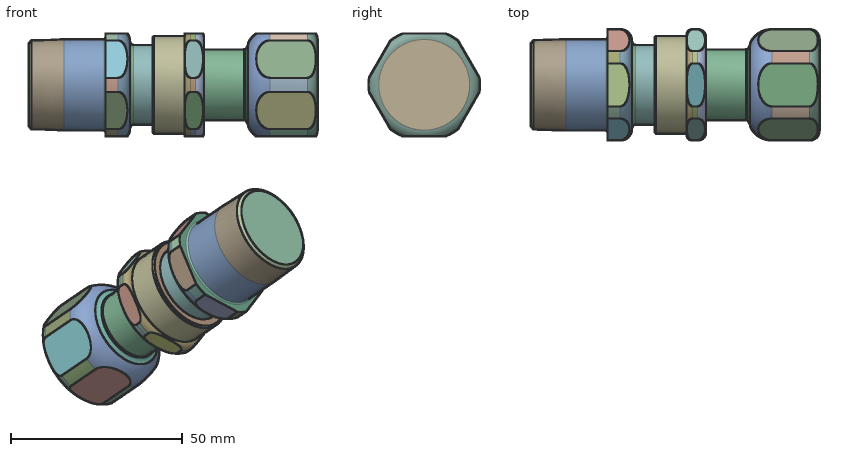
import cadquery as cq
import math

length = 84.2
across_flats = 30.0
corner_radius = 32.5 / 2

thread_radius = 26.7 / 2
taper_end = 10.3
taper_drop = 0.295
tip_chamfer_length = 0.8
tip_radius = 12.0
entry_hex_start = 22.3
entry_hex_end = 29.55
thread_root_fillet = 0.4
entry_hex_round = 3.5
neck_radius = 23.3 / 2
neck_fillet = 1.0

collar_radius = 28.55 / 2
collar_start = 36.0
collar_chamfer = 0.5

lock_nut_start = 45.4
lock_nut_end = 51.1
lock_nut_front_round = 1.8
lock_nut_back_round = 2.5

tube_radius = 20.7 / 2

cap_start = 62.65
lip_radius = 20.9 / 2
lip_end = 63.15
dome_start = 63.9
dome_end = 70.3
dome_radius = 7.1
blend_radius = 2.5
cap_back_round = 3.0


def turned(outline):
    """Revolve a closed X-radius outline about the X axis."""
    return outline.close().revolve(360, (0, 0, 0), (1, 0, 0))


def cylinder(start, end, radius):
    return cq.Workplane("YZ", origin=(start, 0, 0)).circle(radius).extrude(end - start)


def hexagon(start, end):
    """Hexagonal bar along X with flats facing +Z and -Z."""
    across_corners = across_flats / math.cos(math.radians(30))
    return cq.Workplane("YZ", origin=(start, 0, 0)).polygon(6, across_corners).extrude(end - start)


def round_out(outline, x, radius, size):
    """Continue from a front face with a convex quarter round up to (x, radius)."""
    offset = size * (1 - math.sqrt(0.5))
    return outline.threePointArc((x - size + offset, radius - offset), (x, radius))


def round_in(outline, x, radius, size):
    """Continue from (x, radius) with a convex quarter round down to a back face."""
    offset = size * (1 - math.sqrt(0.5))
    return outline.threePointArc((x + size - offset, radius - offset), (x + size, radius - size))


def make_entry_fitting():
    spigot_end = entry_hex_start - thread_root_fillet
    outline = (
        cq.Workplane("XY")
        .lineTo(0, tip_radius)
        .lineTo(tip_chamfer_length, thread_radius - taper_drop)
        .lineTo(taper_end, thread_radius)
        .lineTo(spigot_end, thread_radius)
        .tangentArcPoint((entry_hex_start, thread_radius + thread_root_fillet), relative=False)
        .lineTo(entry_hex_start, 0)
    )
    spigot = turned(outline)

    hex_outline = (
        cq.Workplane("XY")
        .moveTo(entry_hex_start, 0)
        .lineTo(entry_hex_start, corner_radius)
        .lineTo(entry_hex_end - entry_hex_round, corner_radius)
    )
    hex_outline = round_in(hex_outline, entry_hex_end - entry_hex_round, corner_radius, entry_hex_round)
    hex_outline = hex_outline.lineTo(entry_hex_end, 0)
    hex_flange = hexagon(entry_hex_start, entry_hex_end).intersect(turned(hex_outline))

    neck_outline = (
        cq.Workplane("XY")
        .moveTo(collar_start, 0)
        .lineTo(collar_start, neck_radius)
        .lineTo(entry_hex_end + neck_fillet, neck_radius)
        .tangentArcPoint((entry_hex_end, neck_radius + neck_fillet), relative=False)
        .lineTo(entry_hex_end, 0)
    )
    return spigot.union(hex_flange).union(turned(neck_outline))


def make_collar():
    collar = cylinder(collar_start, lock_nut_start, collar_radius)
    return collar.faces("<X").chamfer(collar_chamfer)


def make_lock_nut():
    front_tangent = lock_nut_start + lock_nut_front_round
    back_tangent = lock_nut_end - lock_nut_back_round
    outline = (
        cq.Workplane("XY")
        .moveTo(lock_nut_start, 0)
        .lineTo(lock_nut_start, corner_radius - lock_nut_front_round)
    )
    outline = round_out(outline, front_tangent, corner_radius, lock_nut_front_round)
    outline = outline.lineTo(back_tangent, corner_radius)
    outline = round_in(outline, back_tangent, corner_radius, lock_nut_back_round)
    outline = outline.lineTo(lock_nut_end, 0)
    return hexagon(lock_nut_start, lock_nut_end).intersect(turned(outline))


def make_tube():
    return cylinder(lock_nut_end, cap_start, tube_radius)


def make_cap_nut():
    back_tangent = length - cap_back_round
    dome_center = corner_radius - dome_radius
    start_angle = math.acos((dome_end - dome_start) / dome_radius)
    middle_angle = (start_angle + math.pi / 2) / 2

    def dome_point(angle):
        x = dome_end - dome_radius * math.cos(angle)
        return (x, dome_center + dome_radius * math.sin(angle))

    outline = (
        cq.Workplane("XY")
        .moveTo(cap_start, 0)
        .lineTo(cap_start, lip_radius)
        .lineTo(lip_end, lip_radius)
        .radiusArc(dome_point(start_angle), -blend_radius)
        .threePointArc(dome_point(middle_angle), (dome_end, corner_radius))
        .lineTo(back_tangent, corner_radius)
    )
    outline = round_in(outline, back_tangent, corner_radius, cap_back_round)
    outline = outline.lineTo(length, 0)
    return hexagon(cap_start, length).intersect(turned(outline))


entry_fitting = make_entry_fitting()
collar = make_collar()
lock_nut = make_lock_nut()
tube = make_tube()
cap_nut = make_cap_nut()

bodies = [entry_fitting, collar, lock_nut, tube, cap_nut]
result = cq.Compound.makeCompound([body.solids().val() for body in bodies])